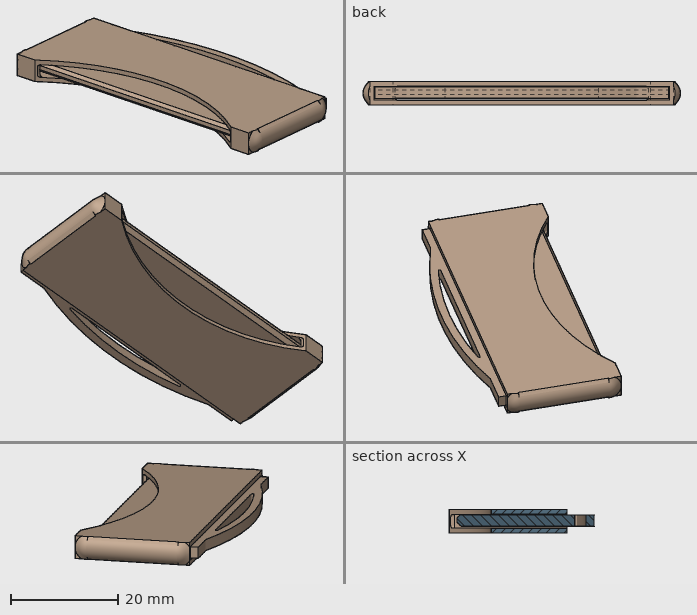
import cadquery as cq
import math

housing_length = 56.6
housing_depth = 22.0
housing_height = 4.4
half_length = housing_length / 2
housing_bottom = -housing_height / 2

cutout_half_width = 24.0
cutout_depth = 7.86

mouth_width = 47.2
mouth_corner_radius = 0.5
mouth_wall = 1.0
slot_bottom = -1.3
slot_top = 1.27
slot_height = slot_top - slot_bottom

overall_length = 59.21
rail_chamfer_height = 0.55
rail_chamfer_length = 0.65
rail_dome_radius = housing_height / 2 - rail_chamfer_height
rail_end_base_radius = 2.5
rail_front_centre = 2.5
rail_rear_centre = housing_depth - 2.12

tray_width = 54.8
tray_front = 1.43
tray_rear = tray_front + housing_depth
tray_bottom = -0.97
tray_top = 1.18
tray_thickness = tray_top - tray_bottom
top_bevel_length = 0.6
top_bevel_height = 0.58
bottom_bevel_length = 0.82
bottom_bevel_height = 0.75

side_clearance = 0.1
cavity_width = tray_width + 2 * side_clearance

overall_depth = 27.1
handle_half_width = 21.4
handle_wall = 1.6
handle_rise = overall_depth - tray_rear
opening_corner_radius = 0.23


def arc_radius(half_chord, rise):
    """Radius of an arc from half its chord and its rise."""
    return (half_chord**2 + rise**2) / (2 * rise)


def slab(width, front, rear, bottom, height):
    """Rectangular block centred on X, reaching from front to rear along Y."""
    return (
        cq.Workplane("XY", origin=(0, (front + rear) / 2, bottom))
        .rect(width, rear - front)
        .extrude(height)
    )


def arc_plate(half_chord, rise, base_y, bottom, height):
    """Plate bounded by a chord at base_y and an arc bulging toward +Y."""
    return (
        cq.Workplane("XY", origin=(0, base_y, bottom))
        .moveTo(-half_chord, 0)
        .threePointArc((0, rise), (half_chord, 0))
        .close()
        .extrude(height)
    )


def rail_profile(base_radius):
    """Half section of a rail: chamfer, then a domed crown ending on the X axis."""
    crown_start_x = half_length + rail_chamfer_length
    tip_x = overall_length / 2
    crown_radius = arc_radius(rail_dome_radius, tip_x - crown_start_x)
    half_angle = math.asin(rail_dome_radius / crown_radius) / 2
    crown_middle = (
        tip_x - crown_radius * (1 - math.cos(half_angle)),
        crown_radius * math.sin(half_angle),
    )
    return (
        cq.Workplane("XZ", origin=(0, rail_front_centre, 0))
        .moveTo(half_length, 0)
        .lineTo(half_length, base_radius)
        .lineTo(crown_start_x, rail_dome_radius)
        .threePointArc(crown_middle, (tip_x, 0))
        .close()
    )


def make_rail():
    """Domed rail for the +X end, with wider revolved ends trimmed to the housing outline."""
    span = rail_rear_centre - rail_front_centre
    upper_half = rail_profile(housing_height / 2).extrude(-span)
    end = rail_profile(rail_end_base_radius).revolve(360, (0, 0, 0), (1, 0, 0))
    middle_trim = slab(
        overall_length, rail_front_centre, rail_rear_centre, -housing_height, 2 * housing_height
    )
    front_end = end.cut(middle_trim)
    rear_end = end.translate((0, span, 0)).cut(middle_trim)
    rail = upper_half.union(upper_half.mirror("XY")).union(front_end).union(rear_end)
    envelope = slab(overall_length, 0, housing_depth, housing_bottom, housing_height)
    return rail.intersect(envelope)


def make_slot():
    """Mouth with rounded corners, opening into the cavity that holds the tray."""
    mouth = slab(mouth_width, 0, mouth_wall, slot_bottom, slot_height)
    mouth = mouth.edges("|Y").fillet(mouth_corner_radius)
    return mouth.union(slab(cavity_width, mouth_wall, housing_depth, slot_bottom, slot_height))


def make_housing():
    body = slab(housing_length, 0, housing_depth, housing_bottom, housing_height)
    cutout = arc_plate(cutout_half_width, cutout_depth, 0, housing_bottom, housing_height)
    rail = make_rail()
    return body.cut(cutout).cut(make_slot()).union(rail).union(rail.mirror("YZ"))


def front_bevel_cutter(edge_z, bevel_length, bevel_height):
    """Wedge that bevels the front edge at edge_z; bevel_height is signed into the tray."""
    return (
        cq.Workplane("YZ")
        .moveTo(tray_front, edge_z)
        .lineTo(tray_front + bevel_length, edge_z)
        .lineTo(tray_front, edge_z + bevel_height)
        .close()
        .extrude(tray_width / 2, both=True)
    )


def make_handle():
    """Arched handle with an opening that leaves a constant-thickness bow."""
    bow = arc_plate(handle_half_width, handle_rise, tray_rear, tray_bottom, tray_thickness)
    inner_radius = arc_radius(handle_half_width, handle_rise) - handle_wall
    inner_rise = handle_rise - handle_wall
    inner_half_width = math.sqrt(inner_radius**2 - (inner_radius - inner_rise) ** 2)
    opening = arc_plate(inner_half_width, inner_rise, tray_rear, tray_bottom, tray_thickness)
    return bow.cut(opening.edges("|Z").fillet(opening_corner_radius))


def make_slider():
    tray = slab(tray_width, tray_front, tray_rear, tray_bottom, tray_thickness)
    tray = tray.cut(front_bevel_cutter(tray_top, top_bevel_length, -top_bevel_height))
    tray = tray.cut(front_bevel_cutter(tray_bottom, bottom_bevel_length, bottom_bevel_height))
    return tray.union(make_handle())


housing = make_housing()
slider = make_slider()

result = cq.Compound.makeCompound([housing.val(), slider.val()])